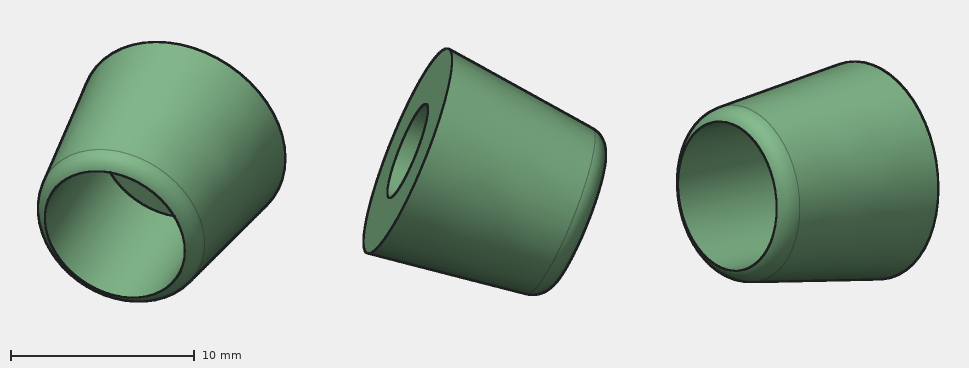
import cadquery as cq

length = 10.0
wide_radius = 6.0
shoulder_radius = 4.87
mouth_length = 1.0
cavity_radius = 4.1
bore_radius = 2.75
end_wall = 2.0

mouth_y = -length / 2
wide_y = length / 2
shoulder_y = mouth_y + mouth_length
cavity_floor_y = wide_y - end_wall


profile = (
    cq.Workplane("XY")
    .moveTo(bore_radius, wide_y)
    .lineTo(wide_radius, wide_y)
    .lineTo(shoulder_radius, shoulder_y)
    .tangentArcPoint((cavity_radius, mouth_y), relative=False)
    .lineTo(cavity_radius, cavity_floor_y)
    .lineTo(bore_radius, cavity_floor_y)
    .close()
)
result = profile.revolve(360, (0, 0, 0), (0, 1, 0))